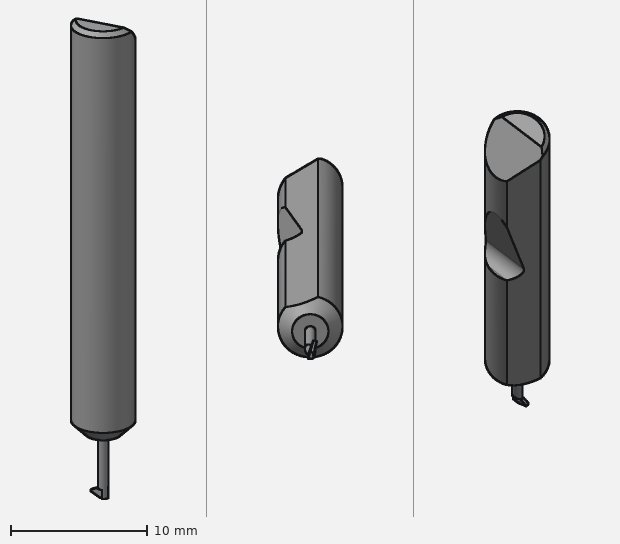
import cadquery as cq
import math

total_length = 38.1
shank_diameter = 4.75
shank_radius = shank_diameter / 2
top_chamfer = 0.4

nose_end_radius = 1.35
nose_end_height = 5.1
nose_top_height = nose_end_height + (shank_radius - nose_end_radius)
neck_diameter = 0.8
neck_radius = neck_diameter / 2

slope_start_y = -0.5
flat_distance = 2.02
flat_angle = 145.0

notch_top = 29.95
notch_bottom = 21.2
notch_depth = 1.25
notch_radius = 1.05

back_face_y = 0.05
rake_face_y = -0.23
back_bevel_height = 0.85
pocket_wall_x = 0.08
tooth_top = 0.72
tooth_reach = 0.9
tip_bottom = 0.4
tip_top = 0.5
lower_edge_end_x = -0.15

clearance = 0.4


def make_turned_body():
    """Revolve the shank, nose and neck."""
    profile = [
        (0, 0),
        (neck_radius, 0),
        (neck_radius, nose_end_height),
        (nose_end_radius, nose_end_height),
        (shank_radius, nose_top_height),
        (shank_radius, total_length - top_chamfer),
        (shank_radius - top_chamfer, total_length),
        (0, total_length),
    ]
    return cq.Workplane("XZ").polyline(profile).close().revolve(360, (0, 0), (0, 1))


def extrude_across_shank(outline):
    """Turn a closed YZ outline into a cutter spanning the whole X width."""
    return outline.extrude(shank_radius + clearance, both=True)


def make_end_slope():
    """45 degree wedge removed from the +Y side of the top end."""
    outer_y = shank_radius + clearance
    run = outer_y - slope_start_y
    outline = (
        cq.Workplane("YZ")
        .moveTo(slope_start_y - clearance, total_length + clearance)
        .lineTo(outer_y, total_length + clearance)
        .lineTo(outer_y, total_length - run)
        .close()
    )
    return extrude_across_shank(outline)


def make_side_flat():
    """Block that leaves a lengthwise flat on the nose and shank."""
    width = shank_diameter
    return (
        cq.Workplane("XY")
        .box(width, width, total_length, centered=(False, True, False))
        .translate((flat_distance, 0, 0))
        .rotate((0, 0, 0), (0, 0, 1), flat_angle)
    )


def make_notch():
    """Ramp descending to a rounded shoulder."""
    outer_y = shank_radius + clearance
    floor_y = shank_radius - notch_depth
    arc_center_y = floor_y + notch_radius
    arc_center_z = notch_bottom + notch_radius
    arc_offset = notch_radius * math.sqrt(0.5)
    outline = (
        cq.Workplane("YZ")
        .moveTo(outer_y, notch_top)
        .lineTo(shank_radius, notch_top)
        .lineTo(floor_y, arc_center_z)
        .threePointArc(
            (arc_center_y - arc_offset, arc_center_z - arc_offset),
            (arc_center_y, notch_bottom),
        )
        .lineTo(outer_y, notch_bottom)
        .close()
    )
    return extrude_across_shank(outline)


def make_back_relief():
    """Cutter for the rear half of the neck end, with a 45 degree run-out."""
    outer_y = neck_radius + clearance
    outline = (
        cq.Workplane("YZ")
        .moveTo(back_face_y, -clearance)
        .lineTo(outer_y, -clearance)
        .lineTo(outer_y, back_bevel_height + outer_y - back_face_y)
        .lineTo(back_face_y, back_bevel_height)
        .close()
    )
    return extrude_across_shank(outline)


def make_tooth_pocket():
    """Clear the neck end to the left of the pocket wall, leaving room for the tooth."""
    width = pocket_wall_x + neck_radius + clearance
    depth = 2 * (neck_radius + clearance)
    return (
        cq.Workplane("XY")
        .box(width, depth, tooth_top + clearance, centered=(False, True, False))
        .translate((pocket_wall_x - width, 0, -clearance))
    )


def make_tooth():
    """Pointed cutting tooth between the rake face and the back face."""
    profile = [
        (pocket_wall_x, 0),
        (lower_edge_end_x, 0),
        (-tooth_reach, tip_bottom),
        (-tooth_reach, tip_top),
        (-neck_radius, tooth_top),
        (pocket_wall_x, tooth_top),
    ]
    return (
        cq.Workplane("XZ", origin=(0, back_face_y, 0))
        .polyline(profile)
        .close()
        .extrude(back_face_y - rake_face_y)
    )


result = (
    make_turned_body()
    .cut(make_end_slope())
    .cut(make_side_flat())
    .cut(make_notch())
    .cut(make_back_relief())
    .cut(make_tooth_pocket())
    .union(make_tooth())
)